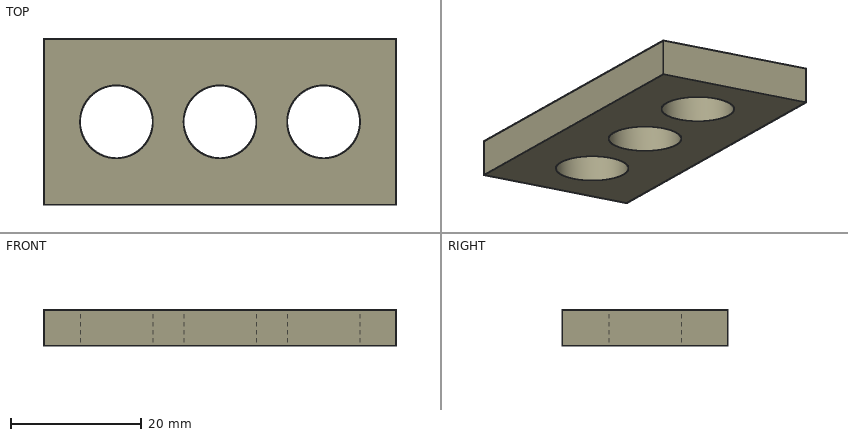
import cadquery as cq

length = 54.0
width = 25.4
thickness = 5.5

hole_count = 3
hole_diameter = 11.1
hole_pitch = 15.85

plate = cq.Workplane("XY").box(length, width, thickness)

result = (
    plate.faces(">Z")
    .workplane()
    .rarray(hole_pitch, 0.55, hole_count, 1)
    .hole(hole_diameter)
)